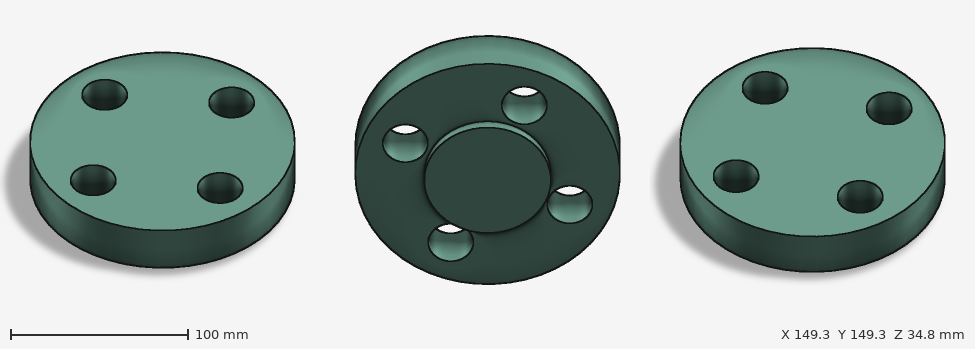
import cadquery as cq

flange_diameter = 149.35
flange_thickness = 28.45
face_diameter = 71.4
face_height = 6.35
bolt_circle_diameter = 101.6
bolt_hole_diameter = 25.4
bolt_count = 4


def make_disc():
    """Main flange disc, standing on the XY plane."""
    return cq.Workplane("XY").circle(flange_diameter / 2).extrude(flange_thickness)


def make_raised_face():
    """Round face projecting below the disc."""
    return cq.Workplane("XY").circle(face_diameter / 2).extrude(-face_height)


def make_bolt_holes():
    """Through holes on the bolt circle, the first one on the +X axis."""
    return (
        cq.Workplane("XY")
        .polarArray(bolt_circle_diameter / 2, 0, 360, bolt_count)
        .circle(bolt_hole_diameter / 2)
        .extrude(flange_thickness)
    )


result = make_disc().union(make_raised_face()).cut(make_bolt_holes())